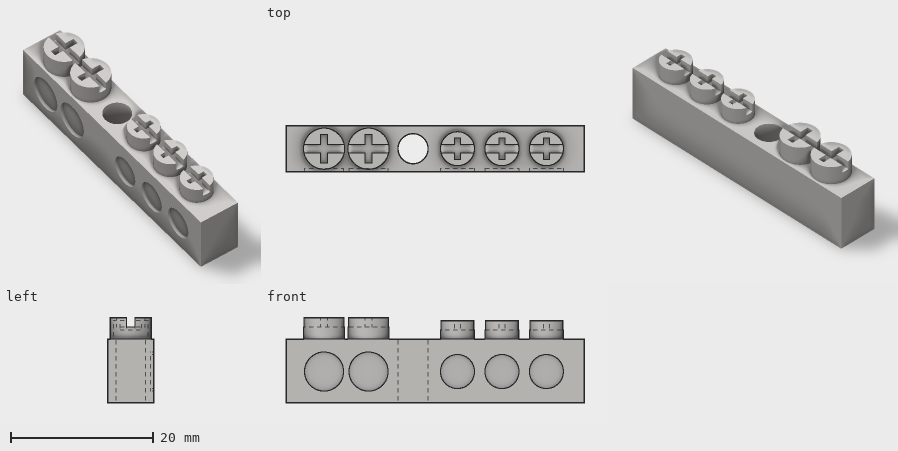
import cadquery as cq

LENGTH = 42.0
WIDTH = 6.5
HEIGHT = 9.0

STATION_COUNT = 6
PITCH = 6.25
FIRST_STATION = (LENGTH - (STATION_COUNT - 1) * PITCH) / 2
STATIONS = [FIRST_STATION + i * PITCH for i in range(STATION_COUNT)]
LARGE_STATIONS = STATIONS[:2]
MOUNTING_STATION = STATIONS[2]
SMALL_STATIONS = STATIONS[3:]

LARGE_HEAD_DIAMETER = 5.8
LARGE_HEAD_HEIGHT = 3.02
LARGE_CROSS_LENGTH = 4.0
LARGE_CROSS_WIDTH = 1.0
LARGE_OPENING_DIAMETER = 5.5

SMALL_HEAD_DIAMETER = 4.8
SMALL_HEAD_HEIGHT = 2.6
SMALL_CROSS_LENGTH = 3.0
SMALL_CROSS_WIDTH = 0.8
SMALL_OPENING_DIAMETER = 4.8

SLOT_WIDTH = 1.18
SLOT_DEPTH = 1.3
OPENING_HEIGHT = 4.4
OPENING_DEPTH = 0.5
MOUNTING_HOLE_DIAMETER = 4.2


def screw_head(x, diameter, height, cross_length, cross_width):
    """Round head with a full-width slot along X and a shorter cross slot along Y."""
    head = cq.Workplane("XY").circle(diameter / 2).extrude(height)
    slot_floor = cq.Workplane("XY").workplane(offset=height - SLOT_DEPTH)
    slot = slot_floor.rect(diameter, SLOT_WIDTH).extrude(SLOT_DEPTH)
    cross = slot_floor.rect(cross_width, cross_length).extrude(SLOT_DEPTH)
    return head.cut(slot).cut(cross).translate((x, WIDTH / 2, HEIGHT))


def wire_opening(x, diameter):
    """Shallow round recess cut into the front (-Y) face."""
    return (
        cq.Workplane("XZ")
        .center(x, OPENING_HEIGHT)
        .circle(diameter / 2)
        .extrude(-OPENING_DEPTH)
    )


def mounting_hole():
    """Vertical hole through the whole block."""
    return (
        cq.Workplane("XY")
        .center(MOUNTING_STATION, WIDTH / 2)
        .circle(MOUNTING_HOLE_DIAMETER / 2)
        .extrude(HEIGHT)
    )


result = cq.Workplane("XY").box(LENGTH, WIDTH, HEIGHT, centered=False)
result = result.cut(mounting_hole())

for station in LARGE_STATIONS:
    head = screw_head(
        station, LARGE_HEAD_DIAMETER, LARGE_HEAD_HEIGHT, LARGE_CROSS_LENGTH, LARGE_CROSS_WIDTH
    )
    result = result.union(head).cut(wire_opening(station, LARGE_OPENING_DIAMETER))

for station in SMALL_STATIONS:
    head = screw_head(
        station, SMALL_HEAD_DIAMETER, SMALL_HEAD_HEIGHT, SMALL_CROSS_LENGTH, SMALL_CROSS_WIDTH
    )
    result = result.union(head).cut(wire_opening(station, SMALL_OPENING_DIAMETER))